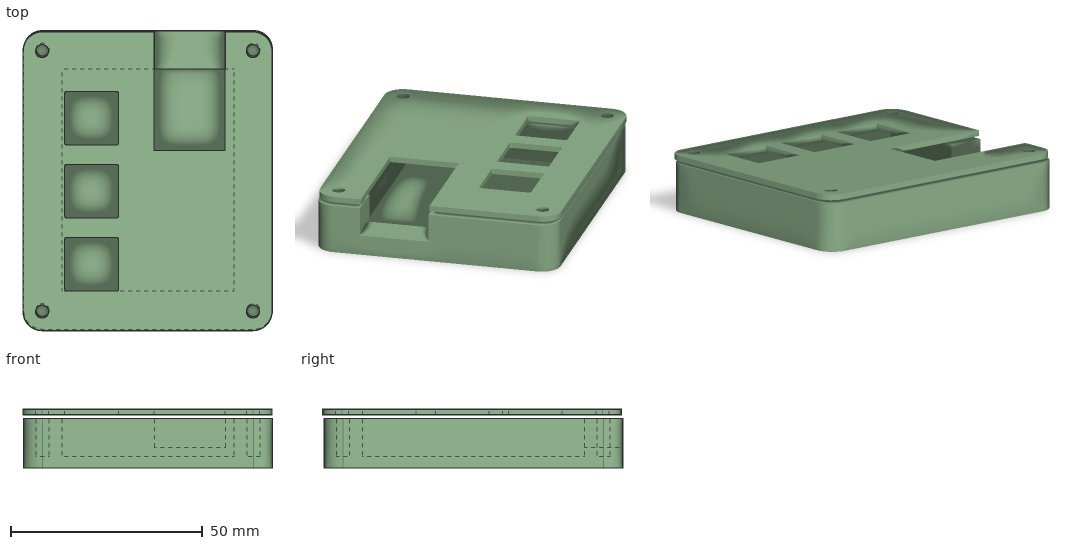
import cadquery as cq

width = 65.0
length = 78.0
corner_radius = 5.0

case_height = 13.0
plate_gap = 0.89
plate_thickness = 1.5
plate_bottom = case_height + plate_gap

case_shift = (0.13, 0.37, 0)

wall = 10.0
floor_thickness = 3.0

hole_diameter = 3.4
hole_inset = 5.0
pin_length = case_height - floor_thickness

key_size = 14.0
key_corner_radius = 0.5
key_pitch = 19.05
key_count = 3
key_center_x = 17.9
first_key_center_y = 17.4

controller_left = 34.25
controller_width = 18.5
controller_length = 31.0
cable_gap_floor = 5.4


def block(x, y, z, size_x, size_y, size_z):
    """Box with its lowest corner at (x, y, z)."""
    return cq.Workplane("XY").box(size_x, size_y, size_z, centered=False).translate((x, y, z))


def rounded_slab(height):
    """Footprint with rounded corners, standing on Z = 0."""
    return block(0, 0, 0, width, length, height).edges("|Z").fillet(corner_radius)


def corner_cylinder(x, y, bottom, height):
    """Cylinder of the corner hole diameter, centred at (x, y)."""
    cylinder = cq.Workplane("XY").circle(hole_diameter / 2).extrude(height)
    return cylinder.translate((x, y, bottom))


corner_points = [
    (x, y)
    for x in (hole_inset, width - hole_inset)
    for y in (hole_inset, length - hole_inset)
]


def make_case():
    """Thick-walled tray with blind corner holes and a cable gap in the +Y wall."""
    cavity_depth = case_height - floor_thickness
    cavity = block(wall, wall, floor_thickness, width - 2 * wall, length - 2 * wall, cavity_depth)
    gap_depth = case_height - cable_gap_floor
    cable_gap = block(controller_left, length - wall, cable_gap_floor, controller_width, wall, gap_depth)
    case = rounded_slab(case_height).cut(cavity).cut(cable_gap)
    for x, y in corner_points:
        case = case.cut(corner_cylinder(x, y, case_height - pin_length, pin_length))
    return case.translate(case_shift)


def make_pin(x, y):
    """Pin that fills a corner hole of the case, flush with its top."""
    return corner_cylinder(x, y, case_height - pin_length, pin_length).translate(case_shift)


def make_plate():
    """Cover plate with corner holes, key openings and a controller opening."""
    plate = rounded_slab(plate_thickness)
    for x, y in corner_points:
        plate = plate.cut(corner_cylinder(x, y, 0, plate_thickness))
    key_left = key_center_x - key_size / 2
    for index in range(key_count):
        key_front = first_key_center_y + index * key_pitch - key_size / 2
        opening = block(key_left, key_front, 0, key_size, key_size, plate_thickness)
        plate = plate.cut(opening.edges("|Z").fillet(key_corner_radius))
    controller_front = length - controller_length
    plate = plate.cut(
        block(controller_left, controller_front, 0, controller_width, controller_length, plate_thickness)
    )
    return plate.translate((0, 0, plate_bottom))


case = make_case()
plate = make_plate()
pins = [make_pin(x, y) for x, y in corner_points]

result = cq.Compound.makeCompound([case.val(), plate.val(), *[pin.val() for pin in pins]])